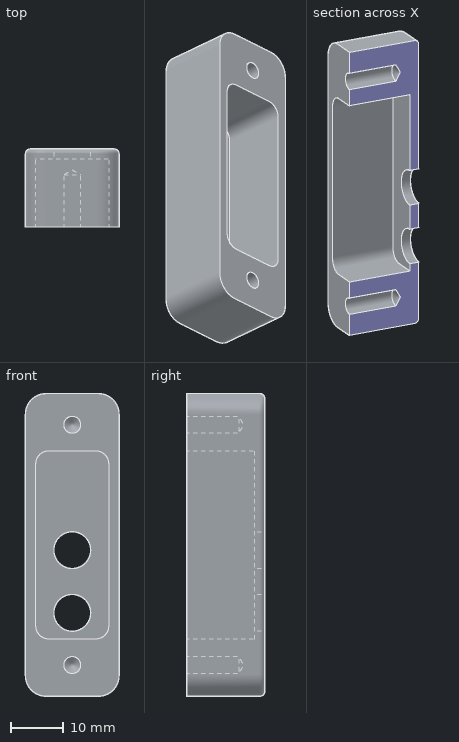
import cadquery as cq
import math

width = 18.0
depth = 15.0
height = 58.0
corner_radius = 4.0
back_edge_fillet = 1.0

side_wall = 2.0
back_wall = 2.0
pocket_width = width - 2 * side_wall
pocket_height = 36.0
pocket_corner_radius = 2.5
pocket_depth = depth - back_wall

opening_diameter = 7.0
opening_heights = (-1.0, -13.0)

screw_hole_diameter = 3.24
screw_hole_spacing = 46.0
screw_hole_depth = 10.0
drill_point_angle = 120.0
screw_hole_radius = screw_hole_diameter / 2
drill_tip_length = screw_hole_radius / math.tan(math.radians(drill_point_angle / 2))


def rounded_bar(bar_width, bar_height, bar_depth, radius):
    """Bar with rounded corners, reaching from Y = 0 towards +Y."""
    bar = cq.Workplane("XY").box(bar_width, bar_depth, bar_height, centered=(True, False, True))
    return bar.edges("|Y").fillet(radius)


def make_body():
    """Outer block with its back rim rounded over."""
    body = rounded_bar(width, height, depth, corner_radius)
    return body.faces(">Y").edges().fillet(back_edge_fillet)


def back_opening(z):
    """Cylinder that cuts a round opening through the full depth at height z."""
    opening = cq.Workplane("XZ").center(0, z).circle(opening_diameter / 2)
    return opening.extrude(-depth)


def screw_hole(z):
    """Drill-shaped cutter entering the open face at height z."""
    half_profile = (
        cq.Workplane("XY")
        .lineTo(screw_hole_radius, 0)
        .lineTo(screw_hole_radius, screw_hole_depth)
        .lineTo(0, screw_hole_depth + drill_tip_length)
        .close()
    )
    cutter = half_profile.revolve(360, (0, 0, 0), (0, 1, 0))
    return cutter.translate((0, 0, z))


result = make_body()
result = result.cut(rounded_bar(pocket_width, pocket_height, pocket_depth, pocket_corner_radius))

for opening_z in opening_heights:
    result = result.cut(back_opening(opening_z))

for screw_z in (-screw_hole_spacing / 2, screw_hole_spacing / 2):
    result = result.cut(screw_hole(screw_z))